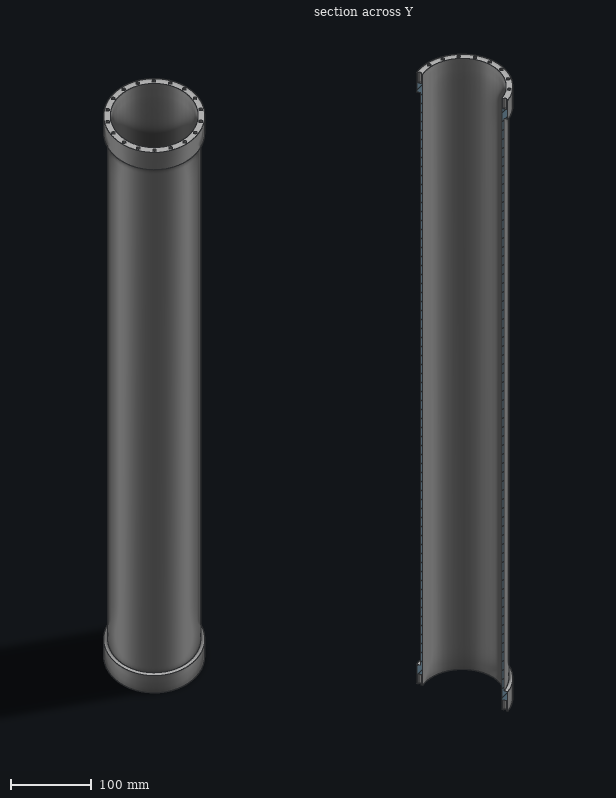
import cadquery as cq

length = 980.0
tube_diameter = 116.0
bore_diameter = 109.0

collar_diameter = 125.0
collar_height = 31.0

hole_count = 18
hole_diameter = 4.2
hole_depth = collar_height / 2
hole_circle_radius = (collar_diameter + bore_diameter) / 4


def cylinder(diameter, height, base_z=0.0):
    """Solid cylinder on the Z axis, starting at base_z."""
    return cq.Workplane("XY").workplane(offset=base_z).circle(diameter / 2).extrude(height)


def hole_ring(base_z):
    """Cutters for one ring of axial holes, the first on the +X axis."""
    return (
        cq.Workplane("XY")
        .workplane(offset=base_z)
        .polarArray(hole_circle_radius, 0, 360, hole_count)
        .circle(hole_diameter / 2)
        .extrude(hole_depth)
    )


body = cylinder(tube_diameter, length)
for collar_base in (0.0, length - collar_height):
    body = body.union(cylinder(collar_diameter, collar_height, collar_base))

body = body.cut(cylinder(bore_diameter, length))

for hole_base in (0.0, length - hole_depth):
    body = body.cut(hole_ring(hole_base))

result = body